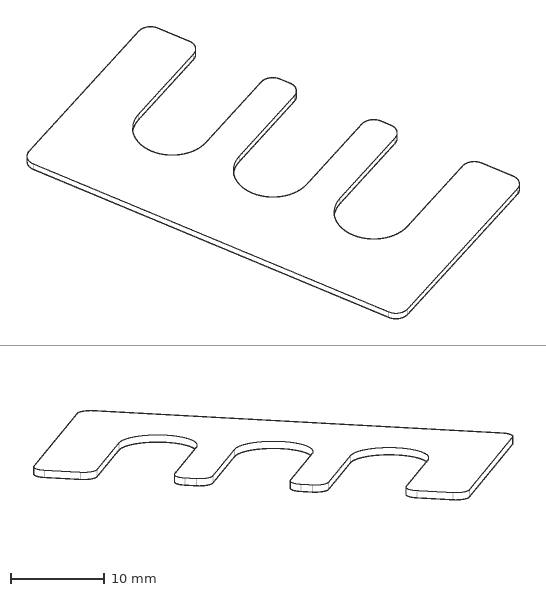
import cadquery as cq

length = 47.75
width = 25.4
thickness = 0.8
corner_radius = 1.5

slot_count = 3
slot_pitch = 12.7
slot_width = 8.5
slot_depth = 17.0

slot_radius = slot_width / 2
back_edge = width / 2
slot_center_y = back_edge - slot_depth + slot_radius


def slot_cutter(center_x):
    """Solid that removes one open slot centred on center_x."""
    return (
        cq.Workplane("XY")
        .moveTo(center_x - slot_radius, back_edge)
        .lineTo(center_x - slot_radius, slot_center_y)
        .threePointArc(
            (center_x, slot_center_y - slot_radius),
            (center_x + slot_radius, slot_center_y),
        )
        .lineTo(center_x + slot_radius, back_edge)
        .close()
        .extrude(thickness)
    )


plate = cq.Workplane("XY").box(length, width, thickness, centered=(True, True, False))

for index in range(slot_count):
    center_x = (index - (slot_count - 1) / 2) * slot_pitch
    plate = plate.cut(slot_cutter(center_x))

plate = plate.faces("<Y").edges("|Z").fillet(corner_radius)
result = plate.faces(">Y").edges("|Z").fillet(corner_radius)